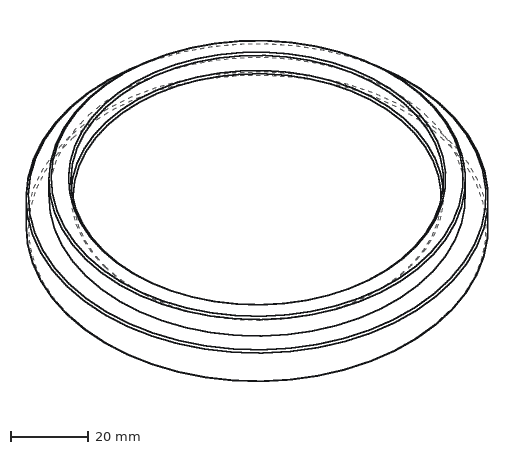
import cadquery as cq

flange_diameter = 119.4
flange_height = 11.0
rim_outer_diameter = 107.6
rim_inner_diameter = 96.3
total_height = 17.3

recess_depth = 6.5

edge_bevel = 0.6


def disc(diameter, bottom, top):
    """Cylinder on the Z axis between two heights."""
    return cq.Workplane("XY").workplane(offset=bottom).circle(diameter / 2).extrude(top - bottom)


flange = disc(flange_diameter, 0, flange_height).edges().chamfer(edge_bevel)

recess_floor = total_height - recess_depth
recess = disc(rim_inner_diameter, recess_floor, total_height).faces("<Z").chamfer(edge_bevel)

rim = disc(rim_outer_diameter, flange_height, total_height)
body = flange.union(rim).cut(recess)
result = body.faces(">Z").edges().chamfer(edge_bevel)